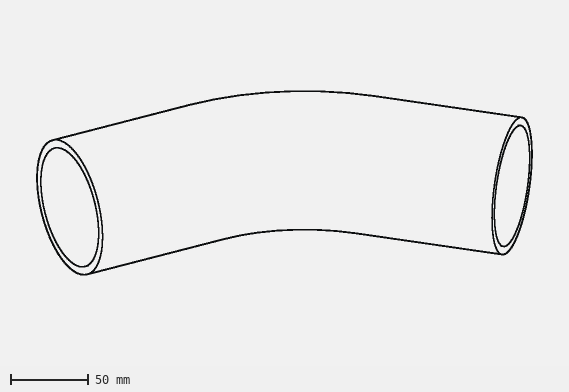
import cadquery as cq
import math

overall_length = 298.0
outer_diameter = 90.0
inner_diameter = 79.3
bend_angle = 45.0

bend_radius = 1.5 * outer_diameter
outer_radius = outer_diameter / 2
bend_sin = math.sin(math.radians(bend_angle))
bend_cos = math.cos(math.radians(bend_angle))

leg_length = (overall_length - (bend_radius + outer_radius) * bend_sin) / (1 + bend_cos)


def elbow_rod(diameter):
    """Solid rod along +Y that bends toward +X between two straight legs."""
    inlet = cq.Workplane("XZ").circle(diameter / 2).extrude(-leg_length)
    bend = (
        cq.Workplane("XZ", origin=(0, leg_length, 0))
        .circle(diameter / 2)
        .revolve(bend_angle, (bend_radius, 3, 0), (bend_radius, 0, 0))
    )
    outlet_plane = cq.Plane(
        origin=(bend_radius * (1 - bend_cos), leg_length + bend_radius * bend_sin, 0),
        xDir=(bend_cos, -bend_sin, 0),
        normal=(bend_sin, bend_cos, 0),
    )
    outlet = cq.Workplane(outlet_plane).circle(diameter / 2).extrude(leg_length)
    return inlet.union(bend).union(outlet)


result = elbow_rod(outer_diameter).cut(elbow_rod(inner_diameter))